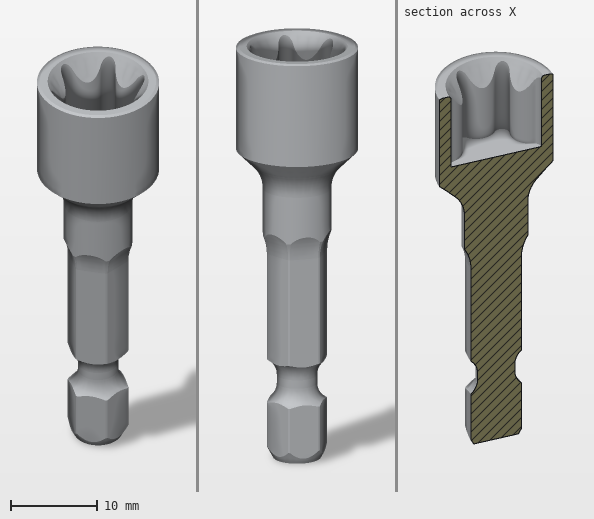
import cadquery as cq
import math

length = 50.0
socket_radius = 7.1
rim_radius = 6.75
rim_chamfer_height = 0.15
neck_radius = 4.0
neck_fillet = 4.0
neck_fillet_bottom = 32.8
shoulder_angle = 45.0

hex_sides = 6
hex_across_flats = 6.35
hex_corner_radius = 3.6
hex_runout_start = 25.0
hex_runout_radius = 5.5
end_radius = 2.8
end_chamfer_height = 1.5

groove_radius = 2.35
groove_bottom = 9.0
groove_top = 10.0
groove_fillet = 2.4

lobe_count = 6
lobe_tip_radius = 5.6
lobe_root_radius = 3.95
tip_arc_radius = 0.9
socket_depth = 10.0
mouth_radius = 5.85
mouth_cone_depth = 2.9


def polar(radius, degrees):
    angle = math.radians(degrees)
    return (radius * math.cos(angle), radius * math.sin(angle))


def arc_rise(radius, offset):
    """Height along an arc, from its vertical tangent, at a sideways offset."""
    return math.sqrt(radius**2 - (radius - offset) ** 2)


def flare_point(start_radius, start_z, arc_radius, offset, direction=1):
    """Point on an arc that flares outward from a vertical line."""
    return (start_radius + offset, start_z + direction * arc_rise(arc_radius, offset))


def make_body():
    """Revolve the outer profile, before the hexagon flats are cut."""
    groove_offset = hex_corner_radius - groove_radius
    runout_offset = neck_radius - hex_corner_radius
    groove_low = (groove_radius, groove_bottom, groove_fillet)
    groove_high = (groove_radius, groove_top, groove_fillet)
    runout = (hex_corner_radius, hex_runout_start, hex_runout_radius)
    neck = (neck_radius, neck_fillet_bottom, neck_fillet)

    cone_offset = neck_fillet * (1 - math.cos(math.radians(shoulder_angle)))
    cone_start = flare_point(*neck, cone_offset)
    mid_offset = neck_fillet * (1 - math.cos(math.radians(shoulder_angle / 2)))
    shoulder_z = cone_start[1] + (socket_radius - cone_start[0]) / math.tan(math.radians(shoulder_angle))

    profile = (
        cq.Workplane("XZ")
        .lineTo(end_radius, 0)
        .lineTo(hex_corner_radius, end_chamfer_height)
        .lineTo(*flare_point(*groove_low, groove_offset, -1))
        .threePointArc(flare_point(*groove_low, groove_offset / 4, -1), (groove_radius, groove_bottom))
        .lineTo(groove_radius, groove_top)
        .threePointArc(
            flare_point(*groove_high, groove_offset / 4),
            flare_point(*groove_high, groove_offset),
        )
        .lineTo(hex_corner_radius, hex_runout_start)
        .threePointArc(flare_point(*runout, runout_offset / 4), flare_point(*runout, runout_offset))
        .lineTo(neck_radius, neck_fillet_bottom)
        .threePointArc(flare_point(*neck, mid_offset), cone_start)
        .lineTo(socket_radius, shoulder_z)
        .lineTo(socket_radius, length - rim_chamfer_height)
        .lineTo(rim_radius, length)
        .lineTo(0, length)
        .close()
    )
    return profile.revolve(360, (0, 0, 0), (0, 1, 0))


def make_flat_cutter():
    """Block outside one flat, with a curved runout into the neck."""
    flat = hex_across_flats / 2
    outside_offset = neck_radius + 0.5 - flat
    runout = (flat, hex_runout_start, hex_runout_radius)
    below_end = -0.5
    return (
        cq.Workplane("YZ")
        .moveTo(flat, below_end)
        .lineTo(flat, hex_runout_start)
        .threePointArc(flare_point(*runout, outside_offset / 4), flare_point(*runout, outside_offset))
        .lineTo(flat + outside_offset, below_end)
        .close()
        .extrude(neck_radius, both=True)
    )


def make_lobed_hole():
    """Star of tangent arcs: narrow lobe tips joined by wider inward arcs."""
    half_pitch = 180 / lobe_count
    tip_center_distance = lobe_tip_radius - tip_arc_radius
    cos_pitch = math.cos(math.radians(half_pitch))
    root_arc_radius = (
        tip_center_distance**2
        + lobe_root_radius**2
        - 2 * tip_center_distance * lobe_root_radius * cos_pitch
        - tip_arc_radius**2
    ) / (2 * (tip_arc_radius + tip_center_distance * cos_pitch - lobe_root_radius))
    root_center_distance = lobe_root_radius + root_arc_radius

    root_center = polar(root_center_distance, half_pitch)
    share = tip_arc_radius / (tip_arc_radius + root_arc_radius)
    joint_x = tip_center_distance + share * (root_center[0] - tip_center_distance)
    joint_y = share * root_center[1]
    joint_radius = math.hypot(joint_x, joint_y)
    joint_angle = math.degrees(math.atan2(joint_y, joint_x))

    first_lobe = 90
    outline = cq.Workplane("XY", origin=(0, 0, length - socket_depth))
    outline = outline.moveTo(*polar(joint_radius, first_lobe - joint_angle))
    for index in range(lobe_count):
        lobe = first_lobe + index * 2 * half_pitch
        next_lobe = lobe + 2 * half_pitch
        outline = outline.threePointArc(polar(lobe_tip_radius, lobe), polar(joint_radius, lobe + joint_angle))
        outline = outline.threePointArc(
            polar(lobe_root_radius, lobe + half_pitch),
            polar(joint_radius, next_lobe - joint_angle),
        )
    return outline.close().extrude(socket_depth)


def make_mouth_cone():
    """Lead-in cone that narrows from the rim to the lobe roots."""
    return cq.Workplane(
        cq.Solid.makeCone(
            lobe_root_radius, mouth_radius, mouth_cone_depth, pnt=cq.Vector(0, 0, length - mouth_cone_depth)
        )
    )


result = make_body()
flat_cutter = make_flat_cutter()
for side in range(hex_sides):
    result = result.cut(flat_cutter.rotate((0, 0, 0), (0, 0, 1), side * 360 / hex_sides))
result = result.cut(make_lobed_hole()).cut(make_mouth_cone())